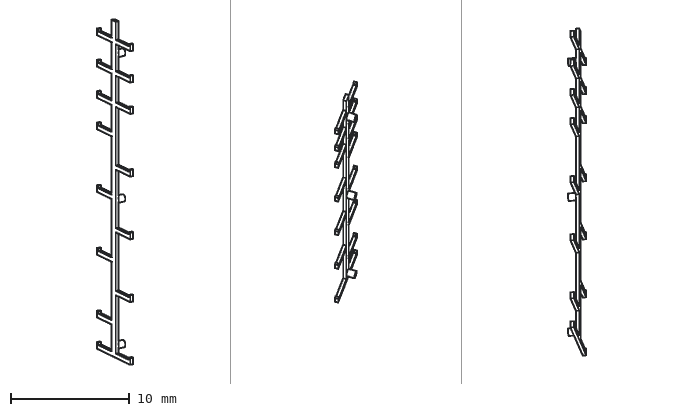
import cadquery as cq

HEIGHT = 30.0
SPINE_WIDTH = 0.65
THICKNESS = 0.3

ARM_SPAN = 5.0
ARM_HEIGHT = 0.4
LIP_WIDTH = 0.2
LIP_RISE = 0.2
TOP_ARM_Z = 28.0

OVERALL_DEPTH = 1.0
PIN_DIAMETER = 0.65
LOWEST_PIN_Z = 1.0
TOP_PIN_Z = 27.0
PIN_COUNT = 3
PIN_PITCH = (TOP_PIN_Z - LOWEST_PIN_Z) / (PIN_COUNT - 1)

LEFT = -1
RIGHT = 1
BOTH = (LEFT, RIGHT)
ARM_LEVELS = [
    BOTH,
    (LEFT,),
    (RIGHT,),
    (LEFT,),
    (RIGHT,),
    (LEFT,),
    (RIGHT,),
    (LEFT,),
    BOTH,
    BOTH,
    BOTH,
]
ARM_PITCH = TOP_ARM_Z / (len(ARM_LEVELS) - 1)


def make_spine():
    return cq.Workplane("XY").box(SPINE_WIDTH, THICKNESS, HEIGHT, centered=(True, False, False))


def make_arm(side, bottom_z):
    """Arm running from the spine's centreline to one side, with its lip."""
    tip_x = side * ARM_SPAN / 2
    lip_x = side * (ARM_SPAN / 2 - LIP_WIDTH)
    arm_top_z = bottom_z + ARM_HEIGHT
    lip_top_z = arm_top_z + LIP_RISE
    outline = [
        (0, bottom_z),
        (tip_x, bottom_z),
        (tip_x, lip_top_z),
        (lip_x, lip_top_z),
        (lip_x, arm_top_z),
        (0, arm_top_z),
    ]
    return cq.Workplane("XZ").polyline(outline).close().extrude(-THICKNESS)


def make_pin(center_z):
    """Round pin reaching from the spine's front face to the overall depth."""
    return cq.Workplane("XZ").center(0, center_z).circle(PIN_DIAMETER / 2).extrude(-OVERALL_DEPTH)


result = make_spine()

for level, sides in enumerate(ARM_LEVELS):
    for side in sides:
        result = result.union(make_arm(side, level * ARM_PITCH))

for index in range(PIN_COUNT):
    result = result.union(make_pin(LOWEST_PIN_Z + index * PIN_PITCH))